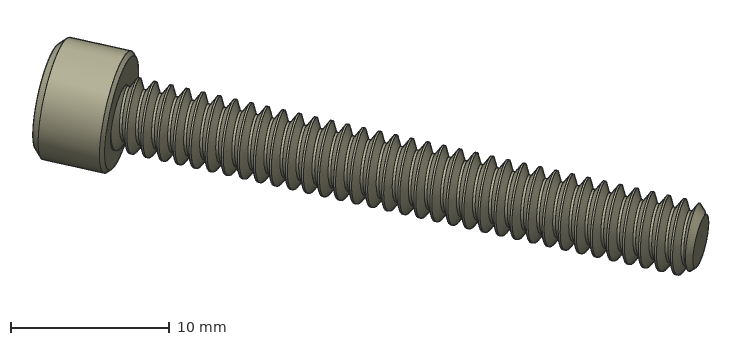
import cadquery as cq
import math

total_length = 42.95
head_diameter = 7.9
shank_diameter = 4.8
head_height = shank_diameter
head_face_chamfer = 0.5
head_back_chamfer = 0.25

socket_flats = 4.0
socket_depth = 2.4
socket_corners = socket_flats / math.cos(math.pi / 6)
lead_in_angle = math.radians(30)

pitch = 1.055
thread_depth = 0.65
flank_slope = math.tan(math.radians(30))
crest_width = pitch / 8
groove_overcut = 0.05
seam_angle = 37
first_crest = 5.6
tip_chamfer = 0.7

shank_radius = shank_diameter / 2
root_radius = shank_radius - thread_depth


def make_head():
    head = cq.Workplane("YZ").circle(head_diameter / 2).extrude(head_height)
    head = head.faces("<X").chamfer(head_face_chamfer)
    return head.faces(">X").chamfer(head_back_chamfer)


def make_socket():
    hexagon = cq.Workplane("YZ").polygon(6, socket_corners).extrude(socket_depth)
    cone_radius = socket_corners / 2
    cone_height = cone_radius * math.tan(lead_in_angle)
    lead_in = cq.Workplane(
        cq.Solid.makeCone(cone_radius, 0, cone_height, cq.Vector(), cq.Vector(1, 0, 0))
    )
    return hexagon.union(lead_in)


def make_groove_turn():
    """One turn of the V-groove along +Z, bounded by four ruled helical faces."""
    root_half_width = (pitch - crest_width) / 2 - thread_depth * flank_slope
    outer_radius = shank_radius + groove_overcut
    outer_half_width = (pitch - crest_width) / 2 + groove_overcut * flank_slope
    corners = [
        (root_radius, -root_half_width),
        (outer_radius, -outer_half_width),
        (outer_radius, outer_half_width),
        (root_radius, root_half_width),
    ]
    rails = [cq.Wire.makeHelix(pitch, pitch, radius, cq.Vector(0, 0, offset)) for radius, offset in corners]
    faces = [cq.Face.makeRuledSurface(rail, rails[i - 1]) for i, rail in enumerate(rails)]
    for ends in ([rail.startPoint() for rail in rails], [rail.endPoint() for rail in rails]):
        faces.append(cq.Face.makeFromWires(cq.Wire.makePolygon(ends, close=True)))
    return cq.Solid.makeSolid(cq.Shell.makeShell(faces))


def make_shank():
    shank = (
        cq.Workplane("YZ", origin=(head_height, 0, 0))
        .circle(shank_radius)
        .extrude(total_length - head_height)
        .faces(">X")
        .chamfer(tip_chamfer)
        .rotate((0, 0, 0), (1, 0, 0), seam_angle)
    )
    groove_turn = make_groove_turn()
    first_turn = math.floor((head_height - first_crest) / pitch) - 1
    last_turn = math.ceil((total_length - first_crest) / pitch)
    turns = []
    for turn in range(first_turn, last_turn + 1):
        start = first_crest + (turn - 0.5) * pitch
        axis = cq.Plane(origin=(start, 0, 0), xDir=(0, 0, 1), normal=(1, 0, 0))
        turns.append(groove_turn.moved(cq.Location(axis)))
    return cq.Workplane(shank.val().cut(*turns))


result = make_head().cut(make_socket()).union(make_shank())